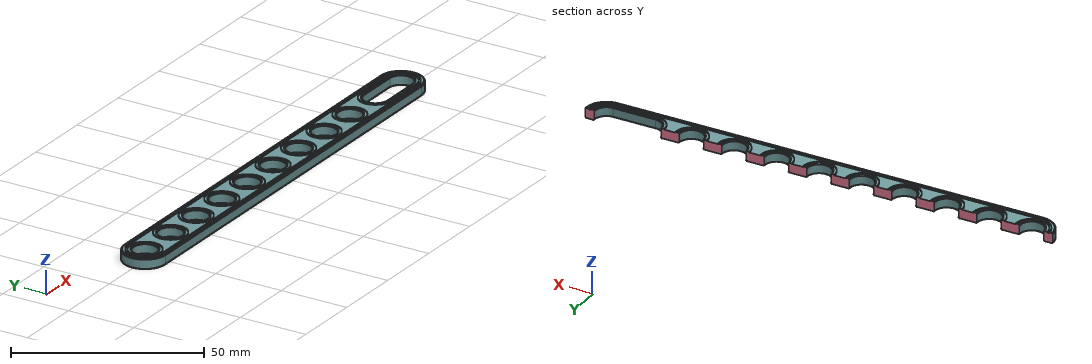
import cadquery as cq

pitch = 12.5
grid_count = 11
thickness = pitch / 4
hole_diameter = 7.0
collar_diameter = 9.2
rim_width = 1.1
recess_depth = 0.2
edge_chamfer = 0.3

width = pitch
length = grid_count * pitch
first_hole_x = (pitch - length) / 2
round_hole_count = grid_count - 2
hole_positions = [(first_hole_x + i * pitch, 0) for i in range(round_hole_count)]
slot_x = first_hole_x + (round_hole_count + 0.5) * pitch
floor_z = thickness - recess_depth


def openings(diameter, base_z, height):
    """Cylinders at the round holes and a rounded bar at the slot."""
    base = cq.Workplane("XY").workplane(offset=base_z)
    rounds = base.pushPoints(hole_positions).circle(diameter / 2).extrude(height)
    slot = base.center(slot_x, 0).slot2D(pitch + diameter, diameter).extrude(height)
    return rounds.union(slot)


def strip():
    """Flat bar with rounded ends and open holes, beveled along its top and bottom edges."""
    bar = cq.Workplane("XY").slot2D(length, width).extrude(thickness)
    pierced = bar.cut(openings(hole_diameter, 0, thickness))
    return pierced.faces("|Z").edges().chamfer(edge_chamfer)


def recess():
    """Shallow panel inside the rim, leaving the collars standing."""
    panel = (
        cq.Workplane("XY")
        .workplane(offset=floor_z)
        .slot2D(length - 2 * rim_width, width - 2 * rim_width)
        .extrude(recess_depth)
    )
    return panel.cut(openings(collar_diameter, floor_z, recess_depth))


result = strip().cut(recess())